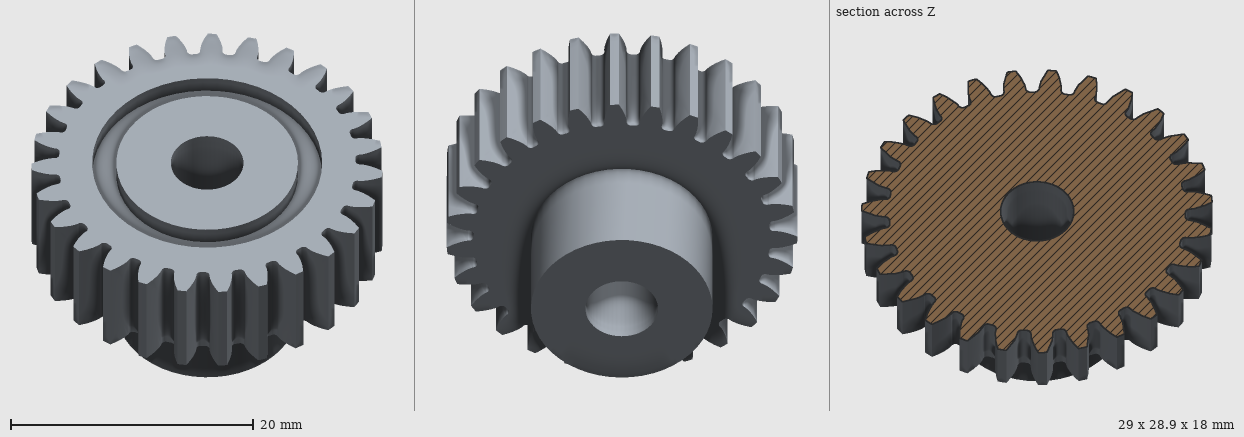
import cadquery as cq
import math

MODULE = 1.0
TOOTH_COUNT = 27
PRESSURE_ANGLE = math.radians(20)
ADDENDUM = 1.0 * MODULE
DEDENDUM = 1.25 * MODULE
ROOT_FILLET = 0.38 * MODULE
FIRST_TOOTH_ANGLE = math.radians(-90)
FLANK_POINTS = 6

FACE_WIDTH = 9.0
HUB_LENGTH = 9.0
HUB_DIAMETER = 15.0
BORE_DIAMETER = 6.0
GROOVE_WIDTH = 2.0
GROOVE_DEPTH = 1.5

PITCH_RADIUS = MODULE * TOOTH_COUNT / 2
BASE_RADIUS = PITCH_RADIUS * math.cos(PRESSURE_ANGLE)
TIP_RADIUS = PITCH_RADIUS + ADDENDUM
ROOT_RADIUS = PITCH_RADIUS - DEDENDUM
TOOTH_PITCH = 2 * math.pi / TOOTH_COUNT
TOTAL_LENGTH = HUB_LENGTH + FACE_WIDTH


def polar(radius, angle):
    return (radius * math.cos(angle), radius * math.sin(angle))


def involute_angle(radius):
    """Angle swept by the involute between the base circle and the given radius."""
    pressure = math.acos(min(1.0, BASE_RADIUS / radius))
    return math.tan(pressure) - pressure


BASE_HALF_ANGLE = TOOTH_PITCH / 4 + involute_angle(PITCH_RADIUS)

FILLET_CENTER_RADIUS = ROOT_RADIUS + ROOT_FILLET
FILLET_ANGLE = math.asin(ROOT_FILLET / FILLET_CENTER_RADIUS)
FOOT_RADIUS = FILLET_CENTER_RADIUS * math.cos(FILLET_ANGLE)


def fillet_points(center, side):
    """Foot, middle and root points of the fillet on one side (-1 or +1) of a tooth."""
    foot_angle = center + side * BASE_HALF_ANGLE
    root_angle = foot_angle + side * FILLET_ANGLE
    center_x, center_y = polar(FILLET_CENTER_RADIUS, root_angle)
    middle_direction = root_angle + math.pi + side * (math.pi / 2 - FILLET_ANGLE) / 2
    offset_x, offset_y = polar(ROOT_FILLET, middle_direction)
    middle = (center_x + offset_x, center_y + offset_y)
    return polar(FOOT_RADIUS, foot_angle), middle, polar(ROOT_RADIUS, root_angle)


def flank_points(center, side):
    """Involute points from the base circle out to the tip."""
    points = []
    for i in range(FLANK_POINTS):
        fraction = (i / (FLANK_POINTS - 1)) ** 2
        radius = BASE_RADIUS + (TIP_RADIUS - BASE_RADIUS) * fraction
        points.append(polar(radius, center + side * (BASE_HALF_ANGLE - involute_angle(radius))))
    return points


def add_tooth(outline, center):
    """Extend the outline over one tooth and along the root to the next tooth."""
    foot_in, middle_in, _ = fillet_points(center, -1)
    foot_out, middle_out, root_out = fillet_points(center, 1)
    rising = flank_points(center, -1)
    falling = flank_points(center, 1)[::-1]
    next_root = fillet_points(center + TOOTH_PITCH, -1)[2]
    return (
        outline.threePointArc(middle_in, foot_in)
        .lineTo(*rising[0])
        .spline(rising[1:], includeCurrent=True)
        .threePointArc(polar(TIP_RADIUS, center), falling[0])
        .spline(falling[1:], includeCurrent=True)
        .lineTo(*foot_out)
        .threePointArc(middle_out, root_out)
        .threePointArc(polar(ROOT_RADIUS, center + TOOTH_PITCH / 2), next_root)
    )


def make_gear():
    start = fillet_points(FIRST_TOOTH_ANGLE, -1)[2]
    outline = cq.Workplane("XY").workplane(offset=HUB_LENGTH).moveTo(*start)
    for i in range(TOOTH_COUNT):
        outline = add_tooth(outline, FIRST_TOOTH_ANGLE + i * TOOTH_PITCH)
    return outline.close().extrude(FACE_WIDTH)


def make_hub():
    return cq.Workplane("XY").circle(HUB_DIAMETER / 2).extrude(HUB_LENGTH)


def make_groove():
    """Ring cut into the top face, its inner wall in line with the hub."""
    inner_radius = HUB_DIAMETER / 2
    return (
        cq.Workplane("XY")
        .workplane(offset=TOTAL_LENGTH - GROOVE_DEPTH)
        .circle(inner_radius + GROOVE_WIDTH)
        .circle(inner_radius)
        .extrude(GROOVE_DEPTH)
    )


def make_bore():
    return cq.Workplane("XY").circle(BORE_DIAMETER / 2).extrude(TOTAL_LENGTH)


result = make_gear().union(make_hub()).cut(make_groove()).cut(make_bore())